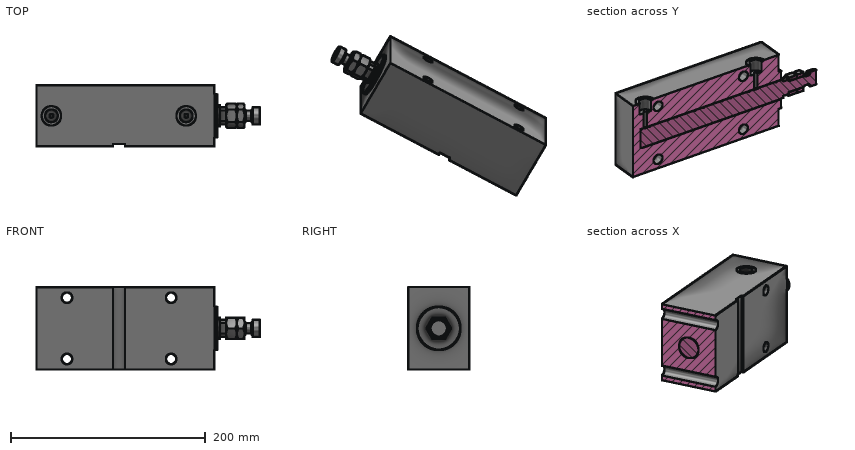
import cadquery as cq
import math


block_length = 183.0
block_depth = 63.0
block_height = 85.0
front_y = -block_depth / 2
top_z = block_height / 2
front_edge_chamfer = 0.3

flange_diameter = 45.0
flange_height = 3.0
flange_chamfer = 0.75
flange_face_x = block_length + flange_height

keyway_start_x = 79.0
keyway_width = 12.0
keyway_depth = 2.5

mount_hole_diameter = 10.5
mount_hole_xs = (31.5, 138.5)
mount_hole_pitch_z = 63.0

port_xs = (15.5, 154.0)
spot_face_diameter = 20.0
spot_face_depth = 0.3
port_diameter = 13.2
port_depth = 13.0
passage_diameter = 4.0

rod_start_x = 10.0
rod_diameter = 22.0
rod_shoulder_x = 188.5
flats_diameter = 21.0
across_flats = 18.0
stud_diameter = 14.0
neck_diameter = 11.0
head_diameter = 18.0
head_length = 8.0
head_chamfer = 0.6
head_cone_diameter = 14.0
head_cone_length = 1.5
rod_end_x = 230.0

nut_across_flats = 22.0
nut_start_x = 195.0
nut_thickness = 11.0
lock_nut_thickness = 8.0
nut_chamfer_angle = math.radians(40)
nut_face_diameter = 21.9
lock_nut_start_x = nut_start_x + nut_thickness
lock_nut_end_x = lock_nut_start_x + lock_nut_thickness

stud_end_x = lock_nut_end_x
neck_start_x = stud_end_x + (stud_diameter - neck_diameter) / 2
head_start_x = rod_end_x - head_length
neck_end_x = head_start_x - head_cone_length


def cylinder_x(diameter, start_x, end_x):
    """Solid cylinder on the X axis."""
    return cq.Workplane("YZ", origin=(start_x, 0, 0)).circle(diameter / 2).extrude(end_x - start_x)


def cylinder_down(diameter, x, depth):
    """Solid cylinder going down from the top face of the block."""
    return cq.Workplane("XY", origin=(x, 0, top_z)).circle(diameter / 2).extrude(-depth)


def make_housing():
    block = cq.Workplane("XY").box(block_length, block_depth, block_height, centered=(False, True, True))
    block = block.faces("<Y").edges("|X").chamfer(front_edge_chamfer)
    flange = cylinder_x(flange_diameter, block_length, flange_face_x)
    housing = block.union(flange.faces(">X").edges().chamfer(flange_chamfer))

    keyway = cq.Workplane("XY", origin=(keyway_start_x, front_y, 0)).box(
        keyway_width, keyway_depth, block_height, centered=(False, False, True)
    )
    housing = housing.cut(keyway)

    hole_points = [(x, side * mount_hole_pitch_z / 2) for x in mount_hole_xs for side in (-1, 1)]
    front_face = cq.Workplane("XZ", origin=(0, front_y, 0)).pushPoints(hole_points)
    housing = housing.cut(front_face.circle(mount_hole_diameter / 2).extrude(-block_depth))

    for x in port_xs:
        housing = housing.cut(cylinder_down(spot_face_diameter, x, spot_face_depth))
        housing = housing.cut(cylinder_down(port_diameter, x, port_depth))
        housing = housing.cut(cylinder_down(passage_diameter, x, top_z))

    return housing.cut(cylinder_x(rod_diameter, rod_start_x, flange_face_x))


def make_rod():
    rod = cylinder_x(rod_diameter, rod_start_x, rod_shoulder_x)

    wrench_length = nut_start_x - rod_shoulder_x
    wrench_square = cq.Workplane("XY", origin=(rod_shoulder_x, 0, 0)).box(
        wrench_length, across_flats, across_flats, centered=(False, True, True)
    )
    rod = rod.union(cylinder_x(flats_diameter, rod_shoulder_x, nut_start_x).intersect(wrench_square))

    turned_end = (
        cq.Workplane("XY")
        .moveTo(nut_start_x, 0)
        .lineTo(nut_start_x, stud_diameter / 2)
        .lineTo(stud_end_x, stud_diameter / 2)
        .lineTo(neck_start_x, neck_diameter / 2)
        .lineTo(neck_end_x, neck_diameter / 2)
        .lineTo(head_start_x, head_cone_diameter / 2)
        .lineTo(head_start_x, head_diameter / 2 - head_chamfer)
        .lineTo(head_start_x + head_chamfer, head_diameter / 2)
        .lineTo(rod_end_x - head_chamfer, head_diameter / 2)
        .lineTo(rod_end_x, head_diameter / 2 - head_chamfer)
        .lineTo(rod_end_x, 0)
        .close()
        .revolve(360, (0, 0, 0), (1, 0, 0))
    )
    return rod.union(turned_end)


def make_nut(start_x, thickness):
    """Hexagon nut with flats on +Z and -Z and conical chamfers on both faces."""
    end_x = start_x + thickness
    corner_radius = nut_across_flats / 2 / math.cos(math.pi / 6)
    hexagon = cq.Workplane("YZ", origin=(start_x, 0, 0)).polygon(6, 2 * corner_radius).extrude(thickness)

    face_radius = nut_face_diameter / 2
    cone_length = (corner_radius - face_radius) * math.tan(nut_chamfer_angle)
    chamfered_blank = (
        cq.Workplane("XY")
        .moveTo(start_x, 0)
        .lineTo(start_x, face_radius)
        .lineTo(start_x + cone_length, corner_radius)
        .lineTo(end_x - cone_length, corner_radius)
        .lineTo(end_x, face_radius)
        .lineTo(end_x, 0)
        .close()
        .revolve(360, (0, 0, 0), (1, 0, 0))
    )
    return hexagon.intersect(chamfered_blank).cut(cylinder_x(stud_diameter, start_x, end_x))


housing = make_housing()
rod = make_rod()
nuts = [
    make_nut(start_x, thickness)
    for start_x, thickness in ((nut_start_x, nut_thickness), (lock_nut_start_x, lock_nut_thickness))
]

result = cq.Compound.makeCompound([housing.val(), rod.val(), *[nut.val() for nut in nuts]])